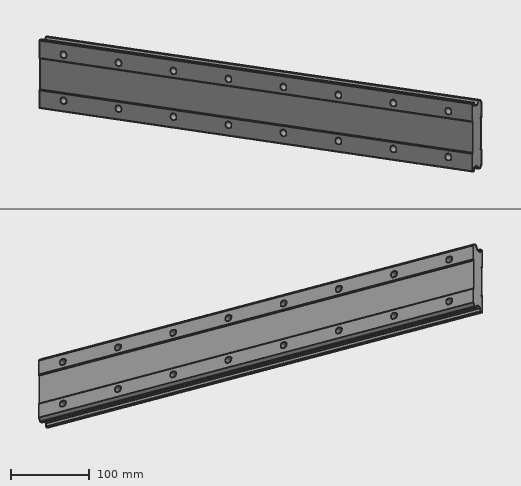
import cadquery as cq

length = 630.0
thickness = 24.0
height = 90.0

waist_height = 40.5
waist_depth = 1.0
waist_slope = 1.0

ridge_chamfer = 4.0
ridge_crest = 4.0
ridge_step_run = 1.0
ridge_step_drop = 2.0
ridge_flank = 3.0

groove_ramp_run = 3.0
groove_ramp_rise = 0.5
lip_width = 5.0
lip_chamfer = 0.95

hole_diameter = 9.0
hole_count = 8
hole_pitch = 80.0
hole_row_spacing = 60.5


def upper_half():
    """Half of the rail above mid-height; the profile runs from the front face over the top to the back."""
    back = thickness / 2
    front = -back
    top = height / 2
    waist_end = waist_height / 2
    pad_start = waist_end + waist_slope
    lip_inner = front + lip_width
    crest_back = back - ridge_chamfer
    crest_front = crest_back - ridge_crest
    flank_top = crest_front - ridge_step_run
    groove_back = flank_top - ridge_flank
    groove_floor = top - ridge_step_drop - ridge_flank

    profile = (
        cq.Workplane("YZ")
        .moveTo(front + waist_depth, 0)
        .lineTo(front + waist_depth, waist_end)
        .lineTo(front, pad_start)
        .lineTo(front, top - lip_chamfer)
        .lineTo(front + lip_chamfer, top)
        .lineTo(lip_inner, top)
        .lineTo(lip_inner, groove_floor + groove_ramp_rise)
        .lineTo(lip_inner + groove_ramp_run, groove_floor)
        .lineTo(groove_back, groove_floor)
        .lineTo(flank_top, top - ridge_step_drop)
        .lineTo(crest_front, top)
        .lineTo(crest_back, top)
        .lineTo(back, top - ridge_chamfer)
        .lineTo(back, pad_start)
        .lineTo(back - waist_depth, waist_end)
        .lineTo(back - waist_depth, 0)
        .close()
    )
    return profile.extrude(length / 2, both=True)


def rail_bar():
    """Both halves joined at mid-height."""
    upper = upper_half()
    return upper.union(upper.mirror("XY")).clean()


def mounting_holes():
    """Two rows of cylinders running through the thickness along Y."""
    return (
        cq.Workplane("XZ")
        .rarray(hole_pitch, hole_row_spacing, hole_count, 2)
        .circle(hole_diameter / 2)
        .extrude(thickness, both=True)
    )


result = rail_bar().cut(mounting_holes())